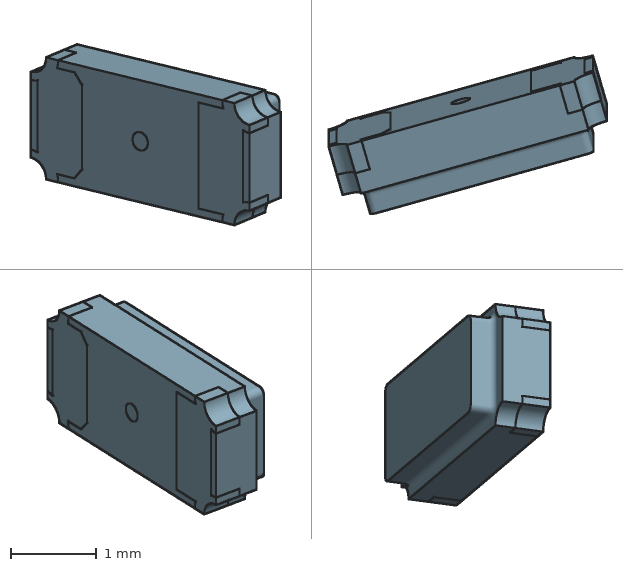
import cadquery as cq
import math

LENGTH = 3.2
DEPTH = 0.9
HEIGHT = 1.5
HALF_LENGTH = LENGTH / 2
HALF_HEIGHT = HEIGHT / 2
FRONT_Y = -DEPTH / 2

BASE_DEPTH = 0.6
CORNER_NOTCH_RADIUS = 0.225
CAP_END_INSET = 0.245
CAP_SIDE_INSET = 0.15
CAP_CORNER_RADIUS = 0.085
CAP_ROOT_FILLET = 0.077

TERMINAL_DEPTH = 0.35
TERMINAL_LENGTH = 0.75
PAD_INSET = 0.1
LAND_SIDE_RADIUS = 0.4
LAND_END_RADIUS = 0.323
POLARITY_CHAMFER_X = 0.112
POLARITY_CHAMFER_Z = 0.13

MARKER_RADIUS = 0.112


def front_plane(y):
    """XZ plane at the given Y, with its normal pointing toward -Y."""
    return cq.Workplane("XZ", origin=(0, y, 0))


def prism_from_front(profile, depth):
    """Extrude a profile on the front face back into the part."""
    return profile.extrude(-depth)


def cut_corner_notches(body, depth):
    corners = [(x, z) for x in (-HALF_LENGTH, HALF_LENGTH) for z in (-HALF_HEIGHT, HALF_HEIGHT)]
    profile = front_plane(FRONT_Y).pushPoints(corners).circle(CORNER_NOTCH_RADIUS)
    return body.cut(prism_from_front(profile, depth))


def make_envelope():
    base = prism_from_front(front_plane(FRONT_Y).rect(LENGTH, HEIGHT), BASE_DEPTH)
    base = cut_corner_notches(base, BASE_DEPTH)
    base_back_y = FRONT_Y + BASE_DEPTH
    cap_profile = front_plane(base_back_y).rect(LENGTH - 2 * CAP_END_INSET, HEIGHT - 2 * CAP_SIDE_INSET)
    cap = cap_profile.extrude(-(DEPTH - BASE_DEPTH)).edges("|Y").fillet(CAP_CORNER_RADIUS)
    body = base.union(cap)

    margin = 0.003
    root_edges = cq.selectors.BoxSelector(
        (-HALF_LENGTH + CAP_END_INSET - margin, base_back_y - margin, -HALF_HEIGHT + CAP_SIDE_INSET - margin),
        (HALF_LENGTH - CAP_END_INSET + margin, base_back_y + margin, HALF_HEIGHT - CAP_SIDE_INSET + margin),
        boundingbox=True,
    )
    return body.edges(root_edges).fillet(CAP_ROOT_FILLET)


def make_land(side, end):
    """Corner land: the arcs about the corner bound its strips along the long and short sides."""
    def point(inward_x, inward_z):
        return (side * (HALF_LENGTH - inward_x), end * (HALF_HEIGHT - inward_z))

    def reach(radius, offset):
        return math.sqrt(radius**2 - offset**2)

    middle = PAD_INSET / 2
    profile = (
        front_plane(FRONT_Y)
        .moveTo(*point(0, 0))
        .lineTo(*point(LAND_SIDE_RADIUS, 0))
        .threePointArc(point(reach(LAND_SIDE_RADIUS, middle), middle),
                       point(reach(LAND_SIDE_RADIUS, PAD_INSET), PAD_INSET))
        .lineTo(*point(PAD_INSET, reach(LAND_END_RADIUS, PAD_INSET)))
        .threePointArc(point(middle, reach(LAND_END_RADIUS, middle)), point(0, LAND_END_RADIUS))
        .close()
    )
    return prism_from_front(profile, TERMINAL_DEPTH)


def make_terminal(side, has_polarity_chamfer):
    """Terminal at the -X (side = -1) or +X (side = 1) end."""
    outer_x = side * (HALF_LENGTH - PAD_INSET)
    inner_x = side * (HALF_LENGTH - TERMINAL_LENGTH)
    pad_top = HALF_HEIGHT - PAD_INSET
    if has_polarity_chamfer:
        chamfer_x = inner_x + side * POLARITY_CHAMFER_X
        chamfer_z = pad_top - POLARITY_CHAMFER_Z
        inner_edge = [(chamfer_x, pad_top), (inner_x, chamfer_z), (inner_x, -chamfer_z), (chamfer_x, -pad_top)]
    else:
        inner_edge = [(inner_x, pad_top), (inner_x, -pad_top)]
    outline = [(outer_x, pad_top), *inner_edge, (outer_x, -pad_top)]
    terminal = prism_from_front(front_plane(FRONT_Y).polyline(outline).close(), TERMINAL_DEPTH)
    for end in (-1, 1):
        terminal = terminal.union(make_land(side, end))
    return cut_corner_notches(terminal, TERMINAL_DEPTH)


def make_marker():
    return prism_from_front(front_plane(FRONT_Y).circle(MARKER_RADIUS), TERMINAL_DEPTH)


def make_housing(inserts):
    """Housing with a matching recess for each inserted body."""
    housing = make_envelope()
    for insert in inserts:
        housing = housing.cut(insert)
    return housing


terminals = [make_terminal(side, has_polarity_chamfer=side < 0) for side in (-1, 1)]
marker = make_marker()
housing = make_housing([*terminals, marker])

result = cq.Compound.makeCompound([
    *housing.solids().vals(),
    *[terminal.solids().val() for terminal in terminals],
    marker.val(),
])